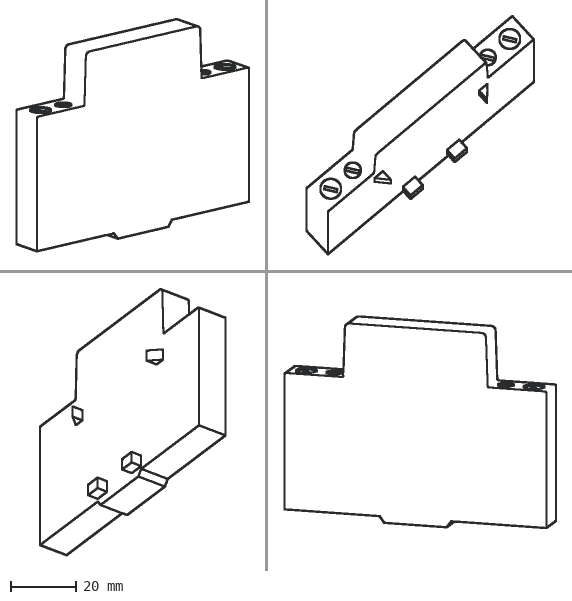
import cadquery as cq
import math

thickness = 10.0
length = 84.0
height = 62.0
foot_height = 2.0
foot_half_width_top = 11.5
foot_half_width_bottom = 10.0
shoulder_height = 45.0

tower_base_half_width = 23.2
tower_draft = math.radians(2.0)
tower_top_radius = 1.5
shoulder_radius = 0.5

hook_reach = 3.71
hook_inner_y = 19.6
hook_outer_y = 23.0
hook_bottom = 35.7
hook_height = 3.7
block_reach = 3.6
block_inner_y = 6.5
block_width = 5.0
block_bottom = 3.0
block_height = 3.8

screws = [(36.5, 6.4), (27.5, 5.0)]
screw_recess = 0.4
slot_length = 4.0
slot_width = 1.0
slot_depth = 0.3
slot_angle = 35.0

SIDES = (-1, 1)


def make_housing():
    """Mirrored side outline extruded through the thickness, with rounded corners."""
    half_length = length / 2
    tower_top_half_width = tower_base_half_width - (height - shoulder_height) * math.tan(tower_draft)
    half_outline = [
        (foot_half_width_bottom, 0),
        (foot_half_width_top, foot_height),
        (half_length, foot_height),
        (half_length, shoulder_height),
        (tower_base_half_width, shoulder_height),
        (tower_top_half_width, height),
    ]
    mirrored_half = [(-y, z) for y, z in reversed(half_outline)]
    body = cq.Workplane("YZ").polyline(half_outline + mirrored_half).close().extrude(thickness)

    def corner_edges(y, z):
        """Edges along the thickness at (+y, z) and (-y, z)."""
        edges = body.edges("|X").vals()
        return [
            edge for edge in edges
            if math.isclose(abs(edge.Center().y), y) and math.isclose(edge.Center().z, z)
        ]

    shoulder_edges = corner_edges(half_length, shoulder_height)
    shoulder_edges += corner_edges(tower_base_half_width, shoulder_height)
    top_edges = corner_edges(tower_top_half_width, height)
    body = body.newObject(shoulder_edges).fillet(shoulder_radius)
    return body.newObject(top_edges).fillet(tower_top_radius)


def make_hook(side):
    """Triangular hook: square inner flank and sloping outer flank."""
    outline = [
        (0, side * hook_inner_y),
        (-hook_reach, side * hook_inner_y),
        (0, side * hook_outer_y),
    ]
    return cq.Workplane("XY", origin=(0, 0, hook_bottom)).polyline(outline).close().extrude(hook_height)


def make_block(side):
    """Rectangular locating block standing on the -X face."""
    centre_y = side * (block_inner_y + block_width / 2)
    return (
        cq.Workplane("XY", origin=(-block_reach / 2, centre_y, block_bottom))
        .rect(block_reach, block_width)
        .extrude(block_height)
    )


def make_screw_recess(y, diameter):
    """Sunken screw head with a driver slot cut deeper into it."""
    surface = cq.Workplane("XY", origin=(thickness / 2, y, shoulder_height))
    head = surface.circle(diameter / 2).extrude(-screw_recess)
    slot = (
        surface.transformed(rotate=(0, 0, slot_angle))
        .rect(slot_length, slot_width)
        .extrude(-(screw_recess + slot_depth))
    )
    return head.union(slot)


result = make_housing()
for side in SIDES:
    result = result.union(make_hook(side)).union(make_block(side))
    for distance, diameter in screws:
        result = result.cut(make_screw_recess(side * distance, diameter))